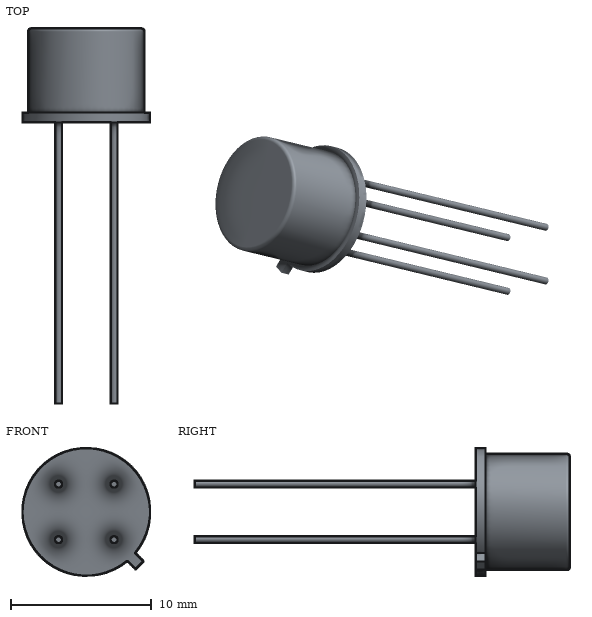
import cadquery as cq


flange_diameter = 9.1
flange_thickness = 0.7
tab_width = 0.8
tab_length = 0.82
tab_angle = -45

cap_diameter = 8.3
cap_height = 6.0
cap_edge_radius = 0.25

lead_diameter = 0.5
lead_length = 20.0
lead_pitch = 3.95


def cylinder_along_y(diameter, y_start, y_end):
    """Solid cylinder about the Y axis, between two Y positions."""
    return (
        cq.Workplane("XZ", origin=(0, y_end, 0))
        .circle(diameter / 2)
        .extrude(y_end - y_start)
    )


def make_tab():
    """Index tab, running from the axis out past the flange rim."""
    reach = flange_diameter / 2 + tab_length
    bar = cq.Workplane("XY").box(reach, flange_thickness, tab_width, centered=(False, False, True))
    return bar.rotate((0, 0, 0), (0, 1, 0), -tab_angle)


def make_header():
    """Flange disc with its index tab and the four leads fixed in it."""
    header = cylinder_along_y(flange_diameter, 0, flange_thickness).union(make_tab())
    lead = cylinder_along_y(lead_diameter, -lead_length, 0)
    for x_side in (-1, 1):
        for z_side in (-1, 1):
            lead_position = (x_side * lead_pitch / 2, 0, z_side * lead_pitch / 2)
            header = header.union(lead.translate(lead_position))
    return header


def make_cap():
    """Round cap seated on the flange, with a rounded closed end."""
    cap = cylinder_along_y(cap_diameter, flange_thickness, flange_thickness + cap_height)
    return cap.faces(">Y").edges().fillet(cap_edge_radius)


header = make_header()
cap = make_cap()

result = cq.Compound.makeCompound([header.val(), cap.val()])